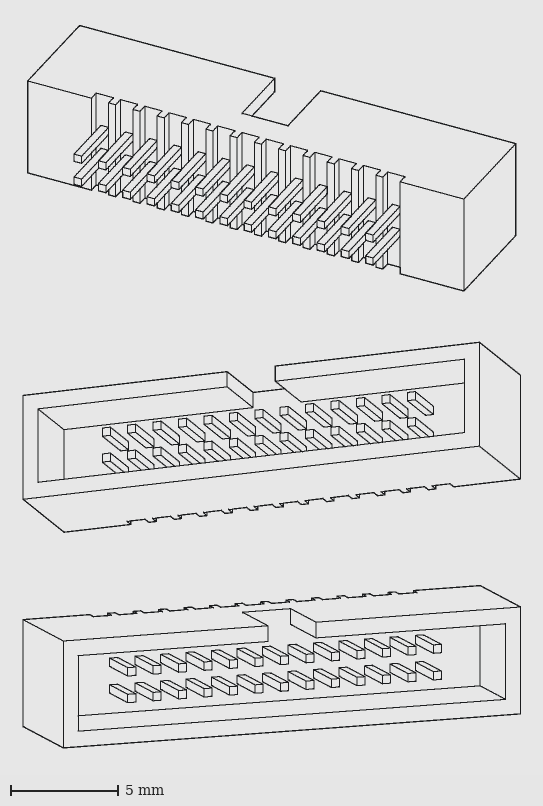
import cadquery as cq


pin_columns = 13
pin_rows = 2
pitch = 1.27
pin_size = 0.4
tail_length = 2.3
pin_recess = 1.0

housing_length = 22.81
housing_depth = 5.4
housing_height = 5.1
wall = 0.75
cavity_depth = 3.4

notch_width = 2.4
notch_depth = cavity_depth

groove_width = 0.9
groove_depth = 0.5


def box_between(x_mid, width, y_start, y_end, z_mid, height):
    """Box centred on x_mid and z_mid, reaching from y_start to y_end."""
    return (
        cq.Workplane("XY")
        .box(width, y_end - y_start, height, centered=(True, False, True))
        .translate((x_mid, y_start, z_mid))
    )


def centred_positions(count):
    """Positions at the pin pitch, symmetric about zero."""
    return [(index - (count - 1) / 2) * pitch for index in range(count)]


column_positions = centred_positions(pin_columns)
row_positions = centred_positions(pin_rows)


def make_housing():
    """Open shroud with the polarising notch."""
    block = box_between(0, housing_length, 0, housing_depth, 0, housing_height)
    cavity = box_between(
        0,
        housing_length - 2 * wall,
        housing_depth - cavity_depth,
        housing_depth,
        0,
        housing_height - 2 * wall,
    )
    notch = box_between(
        0,
        notch_width,
        housing_depth - notch_depth,
        housing_depth,
        (housing_height - wall) / 2,
        wall,
    )
    return block.cut(cavity).cut(notch)


def cut_grooves(body):
    """One full-height groove along Z behind every pin column."""
    for x in column_positions:
        groove = box_between(x, groove_width, 0, groove_depth, 0, housing_height)
        body = body.cut(groove)
    return body


def add_pins(body):
    """Straight pins passing through the housing floor."""
    pin_tip = housing_depth - pin_recess
    for x in column_positions:
        for z in row_positions:
            pin = box_between(x, pin_size, -tail_length, pin_tip, z, pin_size)
            body = body.union(pin)
    return body


result = add_pins(cut_grooves(make_housing()))